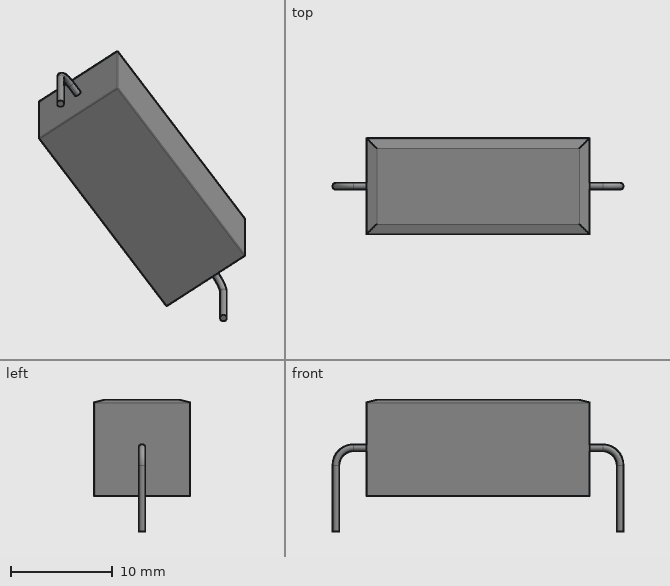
import cadquery as cq

body_length = 22.0
body_width = 9.5
body_bottom = 3.5
body_top = 12.75
edge_radius = 0.1

lid_top = 13.0
lid_slope_run = 1.0

overall_length = 28.68
lead_diameter = 0.7
lead_height = 8.25
bend_radius = 1.72

lead_x = (overall_length - lead_diameter) / 2
lead_embed = 0.57


def make_body():
    block = cq.Workplane("XY").workplane(offset=body_bottom).rect(body_length, body_width)
    return block.extrude(body_top - body_bottom).edges().fillet(edge_radius)


def make_lid():
    """Frustum standing on the flat top that the rounded edges leave."""
    base_inset = 2 * edge_radius
    top_inset = 2 * lid_slope_run
    return (
        cq.Workplane("XY")
        .workplane(offset=body_top)
        .rect(body_length - base_inset, body_width - base_inset)
        .workplane(offset=lid_top - body_top)
        .rect(body_length - top_inset, body_width - top_inset)
        .loft(ruled=True)
    )


def make_lead(side):
    """Lead leaving one end of the body (side is -1 or 1) and bending down."""
    path = (
        cq.Workplane("XZ")
        .moveTo(side * lead_x, 0)
        .lineTo(side * lead_x, lead_height - bend_radius)
        .tangentArcPoint((side * (lead_x - bend_radius), lead_height), relative=False)
        .lineTo(side * (body_length / 2 - lead_embed), lead_height)
    )
    return cq.Workplane("XY").center(side * lead_x, 0).circle(lead_diameter / 2).sweep(path)


result = make_body().union(make_lid())
for side in (-1, 1):
    result = result.union(make_lead(side))